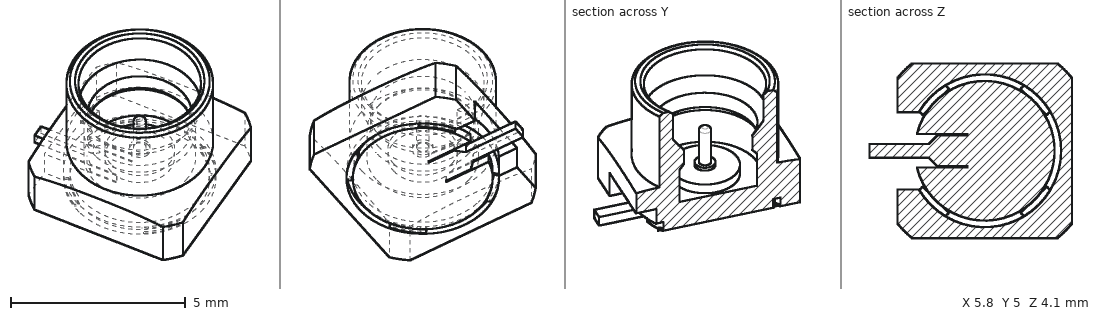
import cadquery as cq
import math

BASE_WIDTH = 5.0
CORNER_RADIUS = 3.25
BASE_HEIGHT = 1.55
CROWN_RADIUS = 4.7

BARREL_DIAMETER = 4.2
TOTAL_HEIGHT = 4.1
RIM_CHAMFER = 0.1

MOUTH_DIAMETER = 3.5
THROAT_DIAMETER = 3.0
CAVITY_DIAMETER = 3.2
MOUTH_BOTTOM = 3.1
THROAT_BOTTOM = 2.17
BORE_CONE_ANGLE = 30.0
FLOOR_HEIGHT = 0.9

INSULATOR_DIAMETER = 2.0
INSULATOR_STEP = 0.3
COLLAR_DIAMETER = 0.6
COLLAR_STEP = 0.1
PIN_DIAMETER = 0.35
PIN_TOP = 2.5
PIN_TIP_RADIUS = 0.09

RECESS_RADIUS = 2.18
RECESS_DEPTH = 0.3
CORE_RADIUS = 2.0
OPENING_WIDTH = 2.2
OPENING_HEIGHT = 0.8
CHANNEL_WIDTH = 0.95
CHANNEL_END = 0.5

LEAD_REACH = 3.3
LEAD_WIDTH = 0.4
LEAD_PAD_WIDTH = 0.88
LEAD_FLARE_START = 1.6
LEAD_THICKNESS = 0.3

TAB_WIDTH = 1.06
TAB_INNER_REACH = 1.97
TAB_OUTER_REACH = 2.5
TAB_BOTTOM = 0.035
TAB_THICKNESS = 0.07
TAB_ANGLES = (45, 135, 225, 315)


def disc(diameter, bottom, top):
    """Vertical cylinder on the socket axis."""
    return cq.Workplane("XY").workplane(offset=bottom).circle(diameter / 2).extrude(top - bottom)


def revolved(profile):
    """Solid of revolution about Z from (radius, height) points."""
    return cq.Workplane("XZ").polyline(profile).close().revolve(360, (0, 0, 0), (0, 1, 0))


def make_base():
    """Square block with rounded corners and a top that curves down outside the barrel."""
    barrel_radius = BARREL_DIAMETER / 2
    crown_run = CORNER_RADIUS - barrel_radius
    corner_drop = CROWN_RADIUS - math.sqrt(CROWN_RADIUS**2 - crown_run**2)
    round_base = (
        cq.Workplane("XZ")
        .lineTo(0, BASE_HEIGHT)
        .lineTo(barrel_radius, BASE_HEIGHT)
        .tangentArcPoint((CORNER_RADIUS, BASE_HEIGHT - corner_drop), relative=False)
        .lineTo(CORNER_RADIUS, 0)
        .close()
        .revolve(360, (0, 0, 0), (0, 1, 0))
    )
    square = cq.Workplane("XY").rect(BASE_WIDTH, BASE_WIDTH).extrude(BASE_HEIGHT)
    return square.intersect(round_base)


def make_barrel():
    barrel = disc(BARREL_DIAMETER, FLOOR_HEIGHT, TOTAL_HEIGHT)
    return barrel.faces(">Z").chamfer(RIM_CHAMFER)


def make_bore():
    mouth = MOUTH_DIAMETER / 2
    throat = THROAT_DIAMETER / 2
    cavity = CAVITY_DIAMETER / 2
    cone_rise = 1 / math.tan(math.radians(BORE_CONE_ANGLE))
    return revolved([
        (0, FLOOR_HEIGHT),
        (cavity, FLOOR_HEIGHT),
        (cavity, THROAT_BOTTOM - (cavity - throat) * cone_rise),
        (throat, THROAT_BOTTOM),
        (throat, MOUTH_BOTTOM - (mouth - throat) * cone_rise),
        (mouth, MOUTH_BOTTOM),
        (mouth, TOTAL_HEIGHT - RIM_CHAMFER),
        (mouth + RIM_CHAMFER, TOTAL_HEIGHT),
        (0, TOTAL_HEIGHT),
    ])


def make_contact():
    """Stepped insulator and collar carrying the round-tipped pin."""
    insulator_top = FLOOR_HEIGHT + INSULATOR_STEP
    collar_top = insulator_top + COLLAR_STEP
    insulator = disc(INSULATOR_DIAMETER, FLOOR_HEIGHT, insulator_top)
    collar = disc(COLLAR_DIAMETER, FLOOR_HEIGHT, collar_top)
    pin = disc(PIN_DIAMETER, FLOOR_HEIGHT, PIN_TOP).faces(">Z").edges().fillet(PIN_TIP_RADIUS)
    return insulator.union(collar).union(pin)


def make_side_opening():
    """Opening in the -X wall, ending at the round wall above the recess."""
    length = BASE_WIDTH / 2
    opening = cq.Workplane("XY").box(
        length, OPENING_WIDTH, OPENING_HEIGHT, centered=(False, True, False)
    ).translate((-length, 0, 0))
    return opening.cut(disc(2 * RECESS_RADIUS, 0, OPENING_HEIGHT))


def make_recess():
    """Ring-shaped underside recess with the lead channel crossing its core."""
    ring = disc(2 * RECESS_RADIUS, 0, RECESS_DEPTH).cut(disc(2 * CORE_RADIUS, 0, RECESS_DEPTH))
    channel = cq.Workplane("XY").box(
        CORE_RADIUS - CHANNEL_END, CHANNEL_WIDTH, RECESS_DEPTH, centered=(False, True, False)
    ).translate((-CORE_RADIUS, 0, 0))
    return ring.union(channel)


def make_lead():
    """Flat lead along -X that widens at 45 degrees inside the channel."""
    half_lead = LEAD_WIDTH / 2
    half_pad = LEAD_PAD_WIDTH / 2
    flare_end = LEAD_FLARE_START - (half_pad - half_lead)
    outline = [
        (-LEAD_REACH, half_lead),
        (-LEAD_FLARE_START, half_lead),
        (-flare_end, half_pad),
        (-CHANNEL_END, half_pad),
        (-CHANNEL_END, -half_pad),
        (-flare_end, -half_pad),
        (-LEAD_FLARE_START, -half_lead),
        (-LEAD_REACH, -half_lead),
    ]
    return cq.Workplane("XY").polyline(outline).close().extrude(LEAD_THICKNESS)


def make_anchor_tab(angle):
    tab = cq.Workplane("XY").box(
        TAB_OUTER_REACH - TAB_INNER_REACH, TAB_WIDTH, TAB_THICKNESS, centered=(False, True, False)
    ).translate((TAB_INNER_REACH, 0, TAB_BOTTOM))
    return tab.rotate((0, 0, 0), (0, 0, 1), angle)


result = make_base().union(make_barrel()).cut(make_bore()).union(make_contact())
result = result.cut(make_side_opening()).cut(make_recess()).union(make_lead())
for tab_angle in TAB_ANGLES:
    result = result.union(make_anchor_tab(tab_angle))